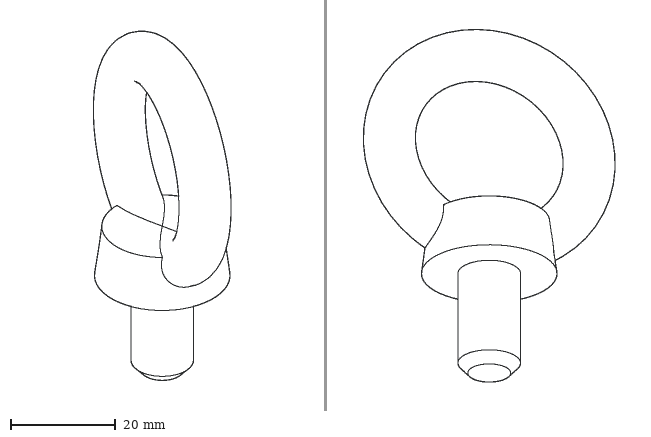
import cadquery as cq

total_height = 71.95
ring_outer_diameter = 49.9
ring_bar_diameter = 10.0
collar_base_diameter = 26.0
collar_top_diameter = 23.2
shank_diameter = 12.0
shank_length = 21.0
tip_diameter = 8.2
tip_height = 2.1

ring_center_z = total_height - ring_outer_diameter / 2
ring_path_radius = (ring_outer_diameter - ring_bar_diameter) / 2
collar_top_z = ring_center_z - ring_outer_diameter / 2 + ring_bar_diameter


def make_ring():
    """Round bar bent into a closed ring about the Y direction."""
    return cq.Workplane(
        cq.Solid.makeTorus(
            ring_path_radius,
            ring_bar_diameter / 2,
            cq.Vector(0, 0, ring_center_z),
            cq.Vector(0, 1, 0),
        )
    )


def make_stem():
    """Tapered collar and shank with a bevelled tip, revolved about Z."""
    profile = [
        (0, 0),
        (tip_diameter / 2, 0),
        (shank_diameter / 2, tip_height),
        (shank_diameter / 2, shank_length),
        (collar_base_diameter / 2, shank_length),
        (collar_top_diameter / 2, collar_top_z),
        (0, collar_top_z),
    ]
    return cq.Workplane("XZ").polyline(profile).close().revolve(360, (0, 0, 0), (0, 1, 0))


result = make_stem().union(make_ring())